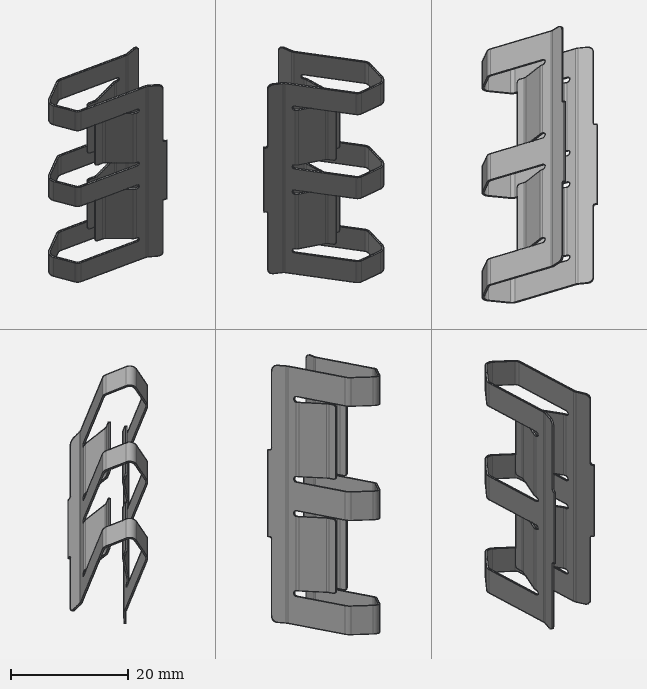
import cadquery as cq
import math


sheet = 0.3
inner_bend_radius = 1.0
mid_bend_radius = inner_bend_radius + sheet / 2

outer_width = 8.0
nose_angle = 45.0
wall_end_y = 16.25

flare_angle = 20.4
overall_depth = 19.76
tab_height = 15.2
tab_projection = 0.67
lip_corner_radius = 1.0
tab_root_radius = 0.4

strap_height = 5.0
window_height = 15.0
window_count = 2
overall_height = (window_count + 1) * strap_height + window_count * window_height
window_pitch = strap_height + window_height

slot_width = 1.0
tongue_height = window_height - 2 * slot_width
tongue_root_y = 14.52
tongue_angle = 26.7
tongue_slant = 4.73
tongue_tip_y = 7.88
tongue_corner_radius = 0.5


def sin_deg(angle):
    return math.sin(math.radians(angle))


def cos_deg(angle):
    return math.cos(math.radians(angle))


def bend_advance(angle):
    """Mid-sheet distance covered along the incoming direction by a bend."""
    return mid_bend_radius * sin_deg(angle)


def bend_shift(angle):
    """Mid-sheet distance a bend moves sideways from the incoming direction."""
    return mid_bend_radius * (1 - cos_deg(angle))


def bent_strip(start, heading, steps, height):
    """Sheet of the given height whose middle follows straights and bends, centred on Z = 0.

    Each step is ("straight", length) or ("bend", angle); a positive angle turns left.
    """
    x, y = start

    def face_points():
        across_x = -sin_deg(heading) * sheet / 2
        across_y = cos_deg(heading) * sheet / 2
        return (x + across_x, y + across_y), (x - across_x, y - across_y)

    left_start, right_start = face_points()
    left_path = [("start", left_start, None)]
    right_path = [("start", right_start, None)]
    for kind, amount in steps:
        left_mid, right_mid = None, None
        if kind == "straight":
            x += amount * cos_deg(heading)
            y += amount * sin_deg(heading)
        else:
            half_chord = 2 * mid_bend_radius * sin_deg(abs(amount) / 4)
            for part in (1, 2):
                x += half_chord * cos_deg(heading + amount / 4)
                y += half_chord * sin_deg(heading + amount / 4)
                heading += amount / 2
                if part == 1:
                    left_mid, right_mid = face_points()
        left_end, right_end = face_points()
        left_path.append((kind, left_end, left_mid))
        right_path.append((kind, right_end, right_mid))

    outline = cq.Workplane("XY", origin=(0, 0, -height / 2)).moveTo(*left_start)
    for kind, end, middle in left_path[1:]:
        outline = outline.lineTo(*end) if kind == "straight" else outline.threePointArc(middle, end)
    outline = outline.lineTo(*right_path[-1][1])
    for index in range(len(right_path) - 1, 0, -1):
        kind, _, middle = right_path[index]
        end = right_path[index - 1][1]
        outline = outline.lineTo(*end) if kind == "straight" else outline.threePointArc(middle, end)
    return outline.close().extrude(height)


wall_x = (outer_width - sheet) / 2
nose_slant = (wall_x - bend_advance(nose_angle) - bend_shift(nose_angle)) / cos_deg(nose_angle)
wall_start_y = (
    sheet / 2 + bend_shift(nose_angle) + nose_slant * sin_deg(nose_angle) + bend_advance(nose_angle)
)
flare_start_y = wall_end_y + bend_advance(flare_angle)
tab_flare_length = (overall_depth - sheet / 2 * sin_deg(flare_angle) - flare_start_y) / cos_deg(flare_angle)
lip_flare_length = tab_flare_length - tab_projection


def half_shell():
    """Right-hand half of the clip: half the nose, one wall and its flared lip."""
    return bent_strip(
        (0, sheet / 2),
        0,
        [
            ("bend", nose_angle),
            ("straight", nose_slant),
            ("bend", 90 - nose_angle),
            ("straight", wall_end_y - wall_start_y),
            ("bend", -flare_angle),
            ("straight", lip_flare_length),
        ],
        overall_height,
    )


def flare_tab():
    """Longer middle stretch of the flared lip."""
    return bent_strip(
        (wall_x, wall_end_y),
        90,
        [("bend", -flare_angle), ("straight", tab_flare_length)],
        tab_height,
    )


def round_lip(body):
    """Round the lip's end corners and the inside corners beside the tab."""
    sheet_normal = cq.Vector(cos_deg(flare_angle), -sin_deg(flare_angle), 0)
    tolerance = 0.01
    through_edges = body.edges(cq.selectors.ParallelDirSelector(sheet_normal))
    lip_end_y = flare_start_y + lip_flare_length * cos_deg(flare_angle)

    def lip_edges(height):
        return through_edges.filter(
            lambda edge: abs(abs(edge.Center().z) - height / 2) < tolerance
            and abs(edge.Center().y - lip_end_y) < tolerance
        )

    end_corners = lip_edges(overall_height).vals()
    tab_roots = lip_edges(tab_height).vals()
    solid = body.val().fillet(lip_corner_radius, end_corners)
    return cq.Workplane(solid.fillet(tab_root_radius, tab_roots))


def window_cutter(center_z):
    """Opening through nose and wall, with a round-ended slot above and below the tongue."""
    opening = cq.Workplane("XY").box(
        outer_width, tongue_root_y, window_height, centered=(False, False, True)
    ).translate((0, 0, center_z))
    slot_offset = (tongue_height + slot_width) / 2
    slot_ends = (
        cq.Workplane("YZ")
        .pushPoints([(tongue_root_y, center_z - slot_offset), (tongue_root_y, center_z + slot_offset)])
        .circle(slot_width / 2)
        .extrude(outer_width)
    )
    return opening.union(slot_ends)


def tongue(center_z):
    """Tongue leaning in from the wall and ending parallel to it."""
    bends_and_slant = 2 * bend_advance(tongue_angle) + tongue_slant * cos_deg(tongue_angle)
    tip_length = tongue_root_y - bends_and_slant - tongue_tip_y
    strip = bent_strip(
        (wall_x, tongue_root_y),
        -90,
        [
            ("bend", -tongue_angle),
            ("straight", tongue_slant),
            ("bend", tongue_angle),
            ("straight", tip_length),
        ],
        tongue_height,
    )
    rounded = strip.faces("<Y").edges("|X").fillet(tongue_corner_radius)
    return rounded.translate((0, 0, center_z))


half = round_lip(half_shell().union(flare_tab()))
for window in range(window_count):
    window_z = (window - (window_count - 1) / 2) * window_pitch
    half = half.cut(window_cutter(window_z)).union(tongue(window_z))

result = half.union(half.mirror("YZ"))